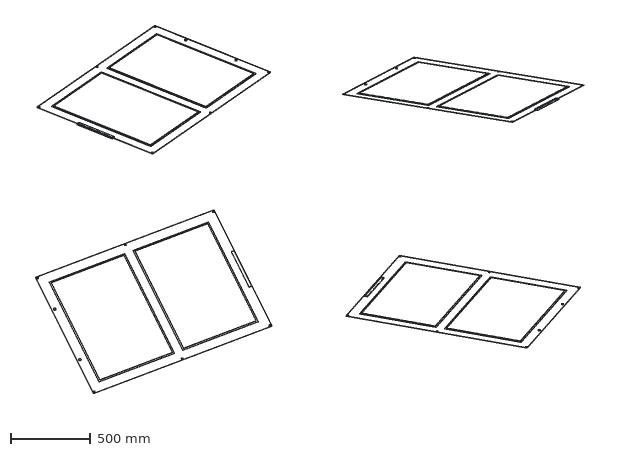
import cadquery as cq

FRAME_WIDTH = 920.0
FRAME_LENGTH = 1230.0
FRAME_THICKNESS = 3.2
TOTAL_HEIGHT = 11.2

WINDOW_WIDTH = 770.0
WINDOW_LENGTH = 500.0
WINDOW_COUNT = 2
PANEL_OVERLAP = 10.0
PANEL_THICKNESS = 2.0

SCREW_HOLE_DIAMETER = 10.0
SCREW_EDGE_DISTANCE = 10.0
HANGING_HOLE_DIAMETER = 15.0
HANGING_HOLE_SPACING = 400.0
HANGING_EDGE_DISTANCE = 20.0

BAR_LENGTH = 280.0
BAR_WIDTH = 20.0

strip_width = (FRAME_LENGTH - WINDOW_COUNT * WINDOW_LENGTH) / (WINDOW_COUNT + 1)
window_pitch = WINDOW_LENGTH + strip_width
window_centers = [(i - (WINDOW_COUNT - 1) / 2) * window_pitch for i in range(WINDOW_COUNT)]
bar_height = TOTAL_HEIGHT - FRAME_THICKNESS


def make_panel(center_y):
    """Rectangular panel, larger than its window, lying against the frame underside."""
    return (
        cq.Workplane("XY")
        .center(0, center_y)
        .rect(WINDOW_WIDTH + 2 * PANEL_OVERLAP, WINDOW_LENGTH + 2 * PANEL_OVERLAP)
        .extrude(-PANEL_THICKNESS)
    )


def cut_windows(plate):
    """Cut each window through the plate."""
    for center_y in window_centers:
        opening = (
            cq.Workplane("XY")
            .center(0, center_y)
            .rect(WINDOW_WIDTH, WINDOW_LENGTH)
            .extrude(FRAME_THICKNESS)
        )
        plate = plate.cut(opening)
    return plate


def cut_holes(plate, points, diameter):
    """Drill plain through holes at the given points."""
    holes = cq.Workplane("XY").pushPoints(points).circle(diameter / 2).extrude(FRAME_THICKNESS)
    return plate.cut(holes)


def make_frame():
    """Flat plate with its underside at Z = 0, two windows, screw holes and hanging holes."""
    plate = cq.Workplane("XY").rect(FRAME_WIDTH, FRAME_LENGTH).extrude(FRAME_THICKNESS)
    plate = cut_windows(plate)

    screw_x = FRAME_WIDTH / 2 - SCREW_EDGE_DISTANCE
    screw_y = FRAME_LENGTH / 2 - SCREW_EDGE_DISTANCE
    screw_points = [(x, y) for x in (-screw_x, screw_x) for y in (-screw_y, 0, screw_y)]
    plate = cut_holes(plate, screw_points, SCREW_HOLE_DIAMETER)

    hanging_y = FRAME_LENGTH / 2 - HANGING_EDGE_DISTANCE
    hanging_points = [(side * HANGING_HOLE_SPACING / 2, hanging_y) for side in (-1, 1)]
    return cut_holes(plate, hanging_points, HANGING_HOLE_DIAMETER)


def make_bar():
    """Bar against the frame underside, centred along and flush with the front edge."""
    center_y = -FRAME_LENGTH / 2 + BAR_WIDTH / 2
    return (
        cq.Workplane("XY")
        .center(0, center_y)
        .rect(BAR_LENGTH, BAR_WIDTH)
        .extrude(-bar_height)
    )


frame = make_frame()
panels = [make_panel(center_y) for center_y in window_centers]
bar = make_bar()

result = cq.Compound.makeCompound([frame.val(), *[panel.val() for panel in panels], bar.val()])